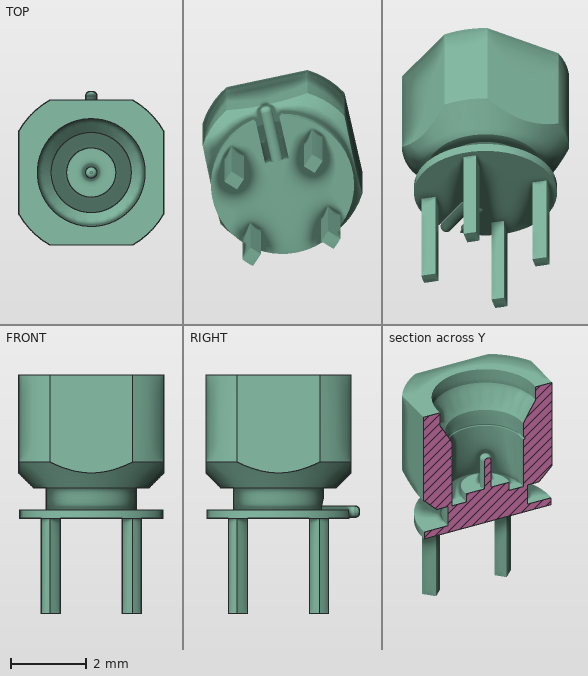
import cadquery as cq

plate_bottom = 2.535
plate_top = 2.76
body_bottom = 3.345
body_top = 6.35

body_width = 3.86
corner_radius = 2.22
body_bottom_radius = 1.535
cone_height = corner_radius - body_bottom_radius
neck_radius = 1.2
plate_radius = 1.905

mouth_radius = 1.435
mouth_depth = 0.41
bore_radius = 1.065
taper_end_depth = 1.04
groove_top_depth = 1.48
groove_height = 0.06
groove_radial_depth = 0.05
insulator_radius = 0.655
insulator_height = 0.255

pin_radius = 0.15
tip_fillet = 0.12
center_pin_top = 4.57
side_pin_height = 2.71
side_pin_end = 2.16
side_hole_radius = 0.37

leg_outer_radius = 1.73
leg_inner_offset = 1.33
leg_width = 0.335
leg_angles = (45, 135, 225, 315)


def cylinder(radius, bottom, top):
    return cq.Workplane("XY").workplane(offset=bottom).circle(radius).extrude(top - bottom)


def make_body():
    """Square body with rounded corners and a conical underside."""
    turned = (
        cq.Workplane("XZ")
        .moveTo(0, body_bottom)
        .lineTo(body_bottom_radius, body_bottom)
        .lineTo(corner_radius, body_bottom + cone_height)
        .lineTo(corner_radius, body_top)
        .lineTo(0, body_top)
        .close()
        .revolve(360, (0, 0, 0), (0, 1, 0))
    )
    square = cq.Workplane("XY").rect(body_width, body_width).extrude(body_top)
    return turned.intersect(square)


def make_socket():
    """Volume of the tapered socket, including its shallow internal groove."""
    taper_end = body_top - taper_end_depth
    mouth_end = body_top - mouth_depth
    groove_top = body_top - groove_top_depth
    groove_bottom = groove_top - groove_height
    bore = (
        cq.Workplane("XZ")
        .moveTo(0, body_bottom)
        .lineTo(bore_radius, body_bottom)
        .lineTo(bore_radius, taper_end)
        .lineTo(mouth_radius, mouth_end)
        .lineTo(mouth_radius, body_top)
        .lineTo(0, body_top)
        .close()
        .revolve(360, (0, 0, 0), (0, 1, 0))
    )
    return bore.union(cylinder(bore_radius + groove_radial_depth, groove_bottom, groove_top))


def make_leg(angle):
    """Radial leg whose outer face is concentric with the plate."""
    blank = (
        cq.Workplane("XY")
        .center((leg_inner_offset + plate_radius) / 2, 0)
        .rect(plate_radius - leg_inner_offset, leg_width)
        .extrude(plate_top)
    )
    leg = blank.intersect(cylinder(leg_outer_radius, 0, plate_top))
    return leg.rotate((0, 0, 0), (0, 0, 1), angle)


def side_cylinder(radius, start, end):
    """Cylinder along +Y at the height of the side pin."""
    return (
        cq.Workplane("XZ", origin=(0, start, side_pin_height))
        .circle(radius)
        .extrude(start - end)
    )


result = make_body().cut(make_socket())
result = result.union(cylinder(neck_radius, plate_bottom, body_bottom))
result = result.union(cylinder(plate_radius, plate_bottom, plate_top))

for leg_angle in leg_angles:
    result = result.union(make_leg(leg_angle))

result = result.cut(side_cylinder(side_hole_radius, insulator_radius, plate_radius))

result = result.union(cylinder(insulator_radius, plate_top, body_bottom + insulator_height))
center_pin = cylinder(pin_radius, body_bottom, center_pin_top).faces(">Z").edges().fillet(tip_fillet)
side_pin = side_cylinder(pin_radius, 0, side_pin_end).faces(">Y").edges().fillet(tip_fillet)
result = result.union(center_pin).union(side_pin)